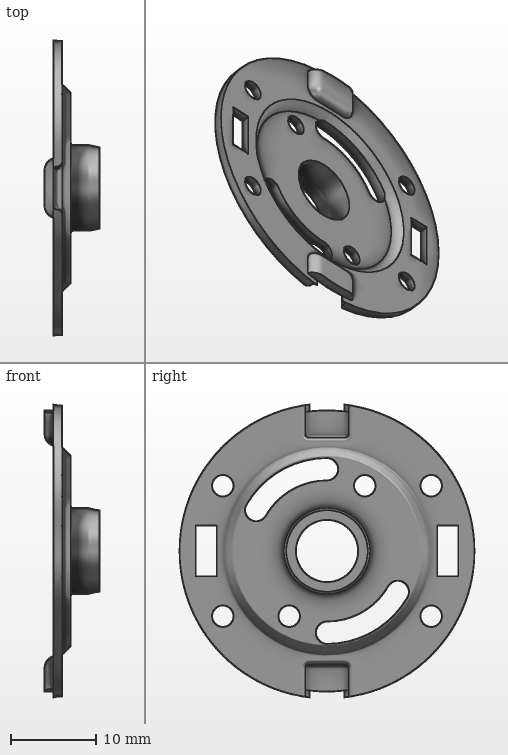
import cadquery as cq
import math

sheet = 1.05
rim_radius = 17.32
tolerance = 0.005
bend_clearance = 0.0017

dish_front_radius = 11.75
dish_floor_radius = dish_front_radius - sheet
back_wall_shift = sheet * math.tan(math.radians(22.5))
dish_back_radius = dish_floor_radius + back_wall_shift
dish_depth = 2 * sheet
dish_back_bend = 0.35

hub_radius = 10.12 / 2
hub_tip_radius = 4.78
bore_radius = 8.07 / 2
bore_tip_radius = 3.65
hub_taper_start = 4.12
hub_root_fillet = 0.17
hub_end = 5.45

tab_half_width = 3.57
tab_bend_radius = 1.52
tab_inner_z = 12.25
tab_outer_radius = 16.53
hollow_bend_radius = 0.52
hollow_lip_radius = 0.5
hollow_half_width = tab_half_width - tab_bend_radius + hollow_bend_radius
hollow_inner_z = tab_inner_z + tab_bend_radius - hollow_bend_radius

hole_diameter = 2.5
rim_hole_y = 12.23
rim_hole_z = 7.65
dish_hole_y = 4.45
dish_hole_z = 7.65
window_width = 2.43
window_height = 5.93
window_y = 14.17
slot_radius = 9.6
slot_width = 2.6
slot_start = 90.0
slot_sweep = 60.0


def through(sketch):
    """Extrude a YZ profile through the full thickness of the disc."""
    return sketch.extrude(2 * hub_end, both=True)


def round_ring(body, x, radius, fillet_radius):
    """Fillet the circular edge of the given radius at position x on the axis."""
    ring = body.edges("%CIRCLE").filter(
        lambda edge: abs(edge.Center().x - x) < tolerance and abs(edge.radius() - radius) < tolerance
    )
    return ring.fillet(fillet_radius)


def make_disc():
    """Revolve the rim, dish, hub and bore about X."""
    profile = [
        (0, rim_radius),
        (sheet, rim_radius),
        (sheet, dish_back_radius + sheet),
        (dish_depth, dish_back_radius),
        (dish_depth, hub_radius),
        (hub_taper_start, hub_radius),
        (hub_end, hub_tip_radius),
        (hub_end, bore_tip_radius),
        (hub_taper_start, bore_radius),
        (sheet, bore_radius),
        (sheet, dish_floor_radius),
        (0, dish_front_radius),
    ]
    disc = cq.Workplane("XY").polyline(profile).close().revolve(360, (0, 0), (1, 0))
    disc = round_ring(disc, sheet, dish_back_radius + sheet, dish_back_bend)
    disc = round_ring(disc, dish_depth, dish_back_radius, dish_back_bend)
    return round_ring(disc, dish_depth, hub_radius, hub_root_fillet)


def tab_block(front_x, half_width, inner_z, bend_radius):
    """Block running out past the rim, rounded at its front, sides and inner end."""
    outer_z = rim_radius + 2 * tab_bend_radius
    block = cq.Workplane("XY").box(
        2 * sheet + bend_radius, 2 * half_width, outer_z - inner_z, centered=(False, True, False)
    )
    block = block.translate((front_x, 0, inner_z))
    block = block.edges("|X and <Z").fillet(bend_radius)
    return block.faces("<X").edges("not >Z").fillet(bend_radius - bend_clearance)


def make_tab():
    """Rounded tab in front of the rim, ending on an arc about the disc axis."""
    block = tab_block(-sheet, tab_half_width, tab_inner_z, tab_bend_radius)
    limit = cq.Workplane("YZ").workplane(offset=-sheet).circle(tab_outer_radius).extrude(tab_bend_radius)
    return block.intersect(limit)


def make_tab_hollow():
    """Hollow behind a tab, with tighter bends about the same bend lines."""
    return tab_block(0, hollow_half_width, hollow_inner_z, hollow_bend_radius)


def round_hollow_lips(body):
    """Round the edges where both hollows open into the back face of the rim."""
    def is_lip(edge):
        box = edge.BoundingBox()
        on_back_face = abs(box.xmin - sheet) < tolerance and abs(box.xmax - sheet) < tolerance
        beside_hollow = max(abs(box.ymin), abs(box.ymax)) < hollow_half_width + tolerance
        near_tab = min(abs(box.zmin), abs(box.zmax)) > hollow_inner_z - tolerance
        return on_back_face and beside_hollow and near_tab

    return body.edges().filter(is_lip).fillet(hollow_lip_radius)


def make_slot():
    """Round-ended arc slot, swept from straight up towards -Y."""
    def point(radius, angle):
        turn = math.radians(slot_start + angle)
        return radius * math.cos(turn), radius * math.sin(turn)

    outer = slot_radius + slot_width / 2
    inner = slot_radius - slot_width / 2
    cap_angle = math.degrees(slot_width / 2 / slot_radius)
    return through(
        cq.Workplane("YZ")
        .moveTo(*point(outer, 0))
        .threePointArc(point(outer, slot_sweep / 2), point(outer, slot_sweep))
        .threePointArc(point(slot_radius, slot_sweep + cap_angle), point(inner, slot_sweep))
        .threePointArc(point(inner, slot_sweep / 2), point(inner, 0))
        .threePointArc(point(slot_radius, -cap_angle), point(outer, 0))
        .close()
    )


hole_points = [(y, z) for y in (-rim_hole_y, rim_hole_y) for z in (-rim_hole_z, rim_hole_z)]
hole_points += [(dish_hole_y, dish_hole_z), (-dish_hole_y, -dish_hole_z)]
holes = through(cq.Workplane("YZ").pushPoints(hole_points).circle(hole_diameter / 2))
windows = through(
    cq.Workplane("YZ").pushPoints([(-window_y, 0), (window_y, 0)]).rect(window_width, window_height)
)

result = make_disc().cut(holes).cut(windows)
for half_turn in (0, 180):
    def place(body):
        return body.rotate((0, 0, 0), (1, 0, 0), half_turn)

    result = result.union(place(make_tab())).cut(place(make_tab_hollow())).cut(place(make_slot()))
result = round_hollow_lips(result)